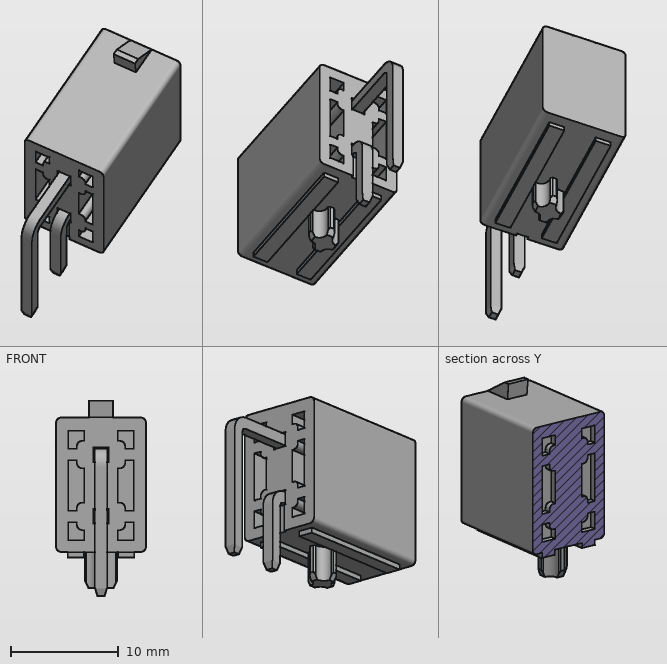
import cadquery as cq


body_width = 8.35
body_length = 14.77
body_height = 12.48
body_edge_radius = 0.5
front_y = -body_length

latch_width = 2.25
latch_height = 1.55
latch_base_length = 3.05
latch_overhang = 0.18
latch_tip_length = 0.61

strip_inner_x = 1.58
strip_outer_x = 3.1
strip_height = 0.5
strip_end_inset = 1.0

peg_y = -8.53
peg_length = 3.33
peg_reach = 1.51
peg_arm_half_width = 0.35
peg_tip_half_width = 0.2
peg_shoulder_reach = 1.38
peg_arc_radius = 0.81
peg_taper_height = 0.72
peg_arc_reach = peg_arm_half_width + peg_arc_radius

pin_size = 1.12
pin_inner_radius = 0.5
pin_outer_radius = pin_inner_radius + pin_size
pin_end_z = -4.08
pin_tip_height = 0.72
pin_tip_size = 0.68
pin_root_depth = 2.2
pin_spacing_y = 5.5
pin_spacing_z = 5.73
long_pin_end_y = -21.95
short_pin_end_y = long_pin_end_y + pin_spacing_y
upper_pin_z = 9.05
lower_pin_z = upper_pin_z - pin_spacing_z
pin_heights = (upper_pin_z, lower_pin_z)

opening_size = 1.4
opening_depth = 0.65
groove_depth = 0.25

pocket_inner_x = 1.55
pocket_outer_x = 3.03
pocket_depth = 4.39
pocket_half_height = 5.07
core_half_width = 2.24
core_height = 2.55
core_corner_radius = 0.5
rib_height = 1.08


def box(x_range, y_range, z_range):
    size = [high - low for low, high in (x_range, y_range, z_range)]
    return cq.Workplane("XY").box(*size, centered=False).translate((x_range[0], y_range[0], z_range[0]))


def front_plane(z=0.0):
    """Sketch plane on the pin face, with its normal pointing out along -Y."""
    return cq.Workplane("XZ", origin=(0, front_y, z))


def make_housing():
    return (
        cq.Workplane("XY")
        .box(body_width, body_length, body_height)
        .edges("|Y")
        .fillet(body_edge_radius)
        .translate((0, -body_length / 2, body_height / 2))
    )


def make_latch():
    tip_y = -latch_base_length - latch_overhang
    top_z = body_height + latch_height
    return (
        cq.Workplane("YZ")
        .moveTo(0, body_height)
        .lineTo(tip_y + latch_tip_length, top_z)
        .lineTo(tip_y, top_z)
        .lineTo(-latch_base_length, body_height)
        .close()
        .extrude(latch_width / 2, both=True)
    )


def make_strip():
    return box(
        (strip_inner_x, strip_outer_x),
        (front_y + strip_end_inset, -strip_end_inset),
        (-strip_height, 0),
    )


def make_peg():
    """Four chamfered arms joined by concave quarter arcs, with tapered arm ends."""
    arm = (
        cq.Workplane("XY")
        .polyline([
            (0, -peg_arm_half_width),
            (peg_shoulder_reach, -peg_arm_half_width),
            (peg_reach, -peg_tip_half_width),
            (peg_reach, peg_tip_half_width),
            (peg_shoulder_reach, peg_arm_half_width),
            (0, peg_arm_half_width),
        ])
        .close()
        .extrude(-peg_length)
    )
    cross = cq.Workplane("XY").rect(2 * peg_arc_reach, 2 * peg_arc_reach).extrude(-peg_length)
    corners = (
        cq.Workplane("XY")
        .rect(2 * peg_arc_reach, 2 * peg_arc_reach, forConstruction=True)
        .vertices()
        .circle(peg_arc_radius)
        .extrude(-peg_length)
    )
    cross = cross.cut(corners)
    for angle in (0, 90, 180, 270):
        cross = cross.union(arm.rotate((0, 0, 0), (0, 0, 1), angle))
    straight_length = peg_length - peg_taper_height
    envelope = cq.Workplane("XY").rect(2 * peg_reach, 2 * peg_reach).extrude(-straight_length)
    taper = (
        cq.Workplane("XY", origin=(0, 0, -straight_length))
        .rect(2 * peg_reach, 2 * peg_reach)
        .workplane(offset=-peg_taper_height)
        .rect(2 * peg_arc_reach, 2 * peg_arc_reach)
        .loft()
    )
    return cross.intersect(envelope.union(taper)).translate((0, peg_y, 0))


def make_pin(axis_z, end_y):
    """Square pin leaving the housing along -Y and bending down to a tapered tip."""
    top_z = axis_z + pin_size / 2
    root_y = front_y + pin_root_depth
    bend_y = end_y + pin_outer_radius
    bend_z = top_z - pin_outer_radius
    tip_start_z = pin_end_z + pin_tip_height
    shank = (
        cq.Workplane("YZ")
        .moveTo(root_y, top_z)
        .lineTo(bend_y, top_z)
        .radiusArc((end_y, bend_z), -pin_outer_radius)
        .lineTo(end_y, tip_start_z)
        .lineTo(end_y + pin_size, tip_start_z)
        .lineTo(end_y + pin_size, bend_z)
        .radiusArc((bend_y, top_z - pin_size), pin_inner_radius)
        .lineTo(root_y, top_z - pin_size)
        .close()
        .extrude(pin_size / 2, both=True)
    )
    tip = (
        cq.Workplane("XY", origin=(0, end_y + pin_size / 2, tip_start_z))
        .rect(pin_size, pin_size)
        .workplane(offset=-pin_tip_height)
        .rect(pin_tip_size, pin_tip_size)
        .loft()
    )
    return shank.union(tip)


def make_pin_opening(axis_z):
    """Square funnel narrowing from the pin face to the pin."""
    return (
        front_plane(axis_z)
        .rect(opening_size, opening_size)
        .workplane(offset=-opening_depth)
        .rect(pin_size, pin_size)
        .loft()
    )


def make_groove():
    return box(
        (-pin_size / 2, pin_size / 2),
        (front_y, front_y + groove_depth),
        (0, lower_pin_z),
    )


def make_pockets():
    """One tall recess per side, split by the ribs and rounded cores around the pins."""
    width = pocket_outer_x - pocket_inner_x
    center_x = (pocket_outer_x + pocket_inner_x) / 2
    center_z = (upper_pin_z + lower_pin_z) / 2
    pockets = (
        front_plane(center_z)
        .pushPoints([(-center_x, 0), (center_x, 0)])
        .rect(width, 2 * pocket_half_height)
        .extrude(-pocket_depth)
    )
    for axis_z in pin_heights:
        rib = front_plane(axis_z).rect(body_width, rib_height).extrude(-pocket_depth)
        core = (
            front_plane(axis_z)
            .rect(2 * core_half_width, core_height)
            .extrude(-pocket_depth)
            .edges("|Y")
            .fillet(core_corner_radius)
        )
        pockets = pockets.cut(rib).cut(core)
    return pockets


housing = make_housing().cut(make_pockets()).cut(make_groove())
for pin_z in pin_heights:
    housing = housing.cut(make_pin_opening(pin_z))

strip = make_strip()
result = (
    housing
    .union(make_latch())
    .union(strip)
    .union(strip.mirror("YZ"))
    .union(make_peg())
    .union(make_pin(upper_pin_z, long_pin_end_y))
    .union(make_pin(lower_pin_z, short_pin_end_y))
)